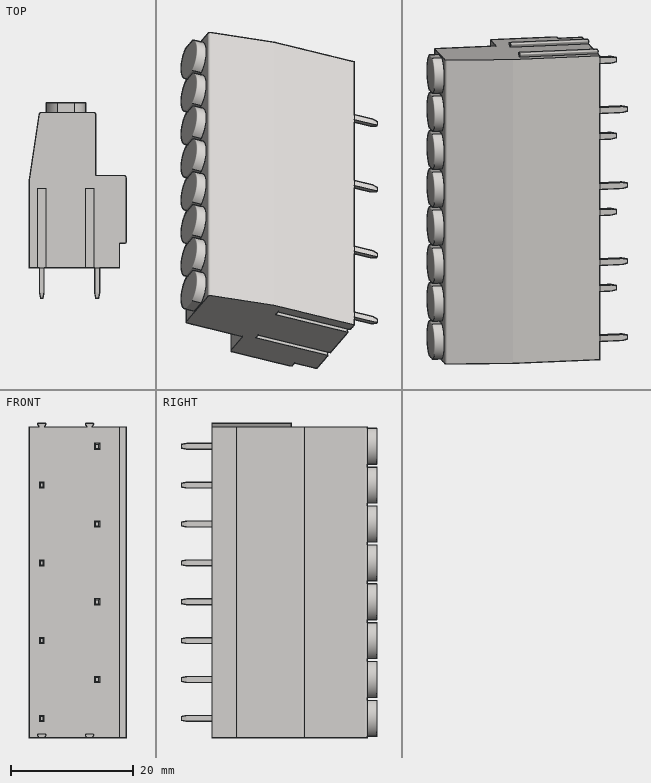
import cadquery as cq


pole_count = 8
pole_pitch = 6.35
row_length = pole_count * pole_pitch

housing_depth = 15.85
housing_height = 25.4
foot_depth = 14.75
lip_underside = 4.0
shoulder_height = 15.1
tower_back = 10.9
tower_front = 1.65
taper_start = 14.4
corner_radius = 0.4
lip_radius = 0.25

dovetail_centers = (2.05, 9.85)
dovetail_wide = 1.6
dovetail_narrow = 0.9
dovetail_height = 0.6
dovetail_edge_radius = 0.15
dovetail_length = 13.0

screw_center_x = 6.0
screw_diameter = 6.5
screw_flats = 5.9
screw_protrusion = 1.6
screw_edge_radius = 0.15

pin_height = 1.0
pin_length = 5.0
pin_tip_length = 0.9
pin_tip_shrink = 0.35
front_pin_x = 2.05
front_pin_width = 0.75
back_pin_x = 11.1
back_pin_width = 0.85


def make_housing():
    outline = [
        (0, 0),
        (foot_depth, 0),
        (foot_depth, lip_underside),
        (housing_depth, lip_underside),
        (housing_depth, shoulder_height),
        (tower_back, shoulder_height),
        (tower_back, housing_height),
        (tower_front, housing_height),
        (0, taper_start),
    ]
    housing = cq.Workplane("XY").polyline(outline).close().extrude(row_length)
    middle = row_length / 2
    for x, y, radius in (
        (housing_depth, lip_underside, lip_radius),
        (housing_depth, shoulder_height, corner_radius),
        (tower_back, housing_height, corner_radius),
        (tower_front, housing_height, corner_radius),
    ):
        corner = cq.selectors.NearestToPointSelector((x, y, middle))
        housing = housing.edges("|Z").edges(corner).fillet(radius)
    return housing


def make_dovetail(center_x, base_z):
    """Dovetail bar that starts at the solder side and widens towards +Z."""
    half_narrow = dovetail_narrow / 2
    half_wide = dovetail_wide / 2
    section = [
        (center_x - half_narrow, base_z),
        (center_x + half_narrow, base_z),
        (center_x + half_wide, base_z + dovetail_height),
        (center_x - half_wide, base_z + dovetail_height),
    ]
    bar = cq.Workplane("XZ").polyline(section).close().extrude(-dovetail_length)
    return bar.faces(">Z").edges("|Y").fillet(dovetail_edge_radius)


def make_screw(center_z):
    """Screw head with two flats that face the neighbouring poles."""
    head = (
        cq.Workplane("XZ", origin=(screw_center_x, housing_height, center_z))
        .circle(screw_diameter / 2)
        .extrude(-screw_protrusion)
    )
    flats = cq.Workplane("XY").box(screw_diameter, 2 * screw_protrusion, screw_flats)
    head = head.intersect(flats.translate((screw_center_x, housing_height, center_z)))
    return head.faces(">Y").edges().fillet(screw_edge_radius)


def make_pin(center_x, center_z, width):
    """Rectangular pin with a tapered tip."""
    shank_length = pin_length - pin_tip_length
    shank = (
        cq.Workplane("XZ", origin=(center_x, 0, center_z))
        .rect(width, pin_height)
        .extrude(shank_length)
    )
    tip = (
        cq.Workplane("XZ", origin=(center_x, -shank_length, center_z))
        .rect(width, pin_height)
        .workplane(offset=pin_tip_length)
        .rect(width - pin_tip_shrink, pin_height - pin_tip_shrink)
        .loft()
    )
    return shank.union(tip)


result = make_housing()
for dovetail_x in dovetail_centers:
    result = result.union(make_dovetail(dovetail_x, row_length))
    result = result.cut(make_dovetail(dovetail_x, 0))

for pole in range(pole_count):
    pole_z = (pole + 0.5) * pole_pitch
    result = result.union(make_screw(pole_z))
    if pole % 2 == 0:
        pin = make_pin(front_pin_x, pole_z, front_pin_width)
    else:
        pin = make_pin(back_pin_x, pole_z, back_pin_width)
    result = result.union(pin)